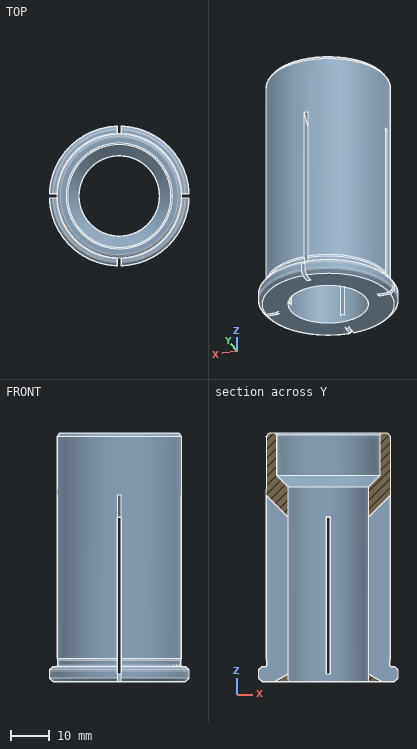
import cadquery as cq
import math

height = 64.0
body_radius = 32.0 / 2
rim_chamfer_height = 0.95
rim_chamfer_width = 0.65

flange_radius = 36.0 / 2
flange_height = 4.0
flange_base_chamfer_height = 1.0
flange_base_chamfer_width = 1.0
flange_top_chamfer = 0.9

edge_round = 0.45
selection_margin = 0.005

groove_depth = 0.1
groove_corner_height = 0.4
groove_top = 6.0
groove_radius = body_radius - groove_depth

bore_radius = 20.6 / 2
mouth_radius = 26.5 / 2
mouth_depth = 10.95
shoulder_height = mouth_radius - bore_radius
mouth_chamfer_height = 0.6
mouth_chamfer_width = 0.4

slot_count = 4
slot_width = 1.0
slot_top = 48.0
slot_top_slope = math.tan(math.radians(45))
slot_floor_height = 2.1
slot_floor_slope = math.tan(math.radians(30))
slot_overlap = 0.65


def round_edge(solid, radius, level):
    """Round the circular edge that has the given radius and height."""
    reach = radius + selection_margin
    box = cq.selectors.BoxSelector(
        (-reach, -reach, level - selection_margin), (reach, reach, level + selection_margin), boundingbox=True
    )
    edge = solid.edges(box).edges(cq.selectors.RadiusNthSelector(-1))
    return edge.fillet(edge_round)


def make_sleeve():
    """Revolve the wall section, drawn as (radius, height), about Z."""
    section = (
        cq.Workplane("XZ")
        .moveTo(bore_radius, 0)
        .lineTo(flange_radius - flange_base_chamfer_width, 0)
        .lineTo(flange_radius, flange_base_chamfer_height)
        .lineTo(flange_radius, flange_height - flange_top_chamfer)
        .lineTo(flange_radius - flange_top_chamfer, flange_height)
        .lineTo(groove_radius + groove_corner_height, flange_height)
        .radiusArc((groove_radius, flange_height + groove_corner_height), groove_corner_height)
        .lineTo(groove_radius, groove_top - groove_corner_height)
        .lineTo(body_radius, groove_top)
        .lineTo(body_radius, height - rim_chamfer_height)
        .lineTo(body_radius - rim_chamfer_width, height)
        .lineTo(mouth_radius + mouth_chamfer_width, height)
        .lineTo(mouth_radius, height - mouth_chamfer_height)
        .lineTo(mouth_radius, height - mouth_depth)
        .lineTo(bore_radius, height - mouth_depth - shoulder_height)
        .close()
    )
    sleeve = section.revolve(360, (0, 0, 0), (0, 1, 0))
    for radius, level in (
        (body_radius - rim_chamfer_width, height),
        (flange_radius - flange_top_chamfer, flange_height),
        (flange_radius, flange_height - flange_top_chamfer),
        (flange_radius, flange_base_chamfer_height),
    ):
        sleeve = round_edge(sleeve, radius, level)
    return sleeve


def make_slot_cutter():
    """Slot on the +X side; its two ends slope towards each other going inwards."""
    inner = bore_radius - slot_overlap
    outer = flange_radius + slot_overlap
    profile = []
    for radius in (inner, outer):
        profile.append((radius, slot_floor_height - (radius - bore_radius) * slot_floor_slope))
    for radius in (outer, inner):
        profile.append((radius, slot_top - (body_radius - radius) * slot_top_slope))
    return cq.Workplane("XZ").polyline(profile).close().extrude(slot_width / 2, both=True)


result = make_sleeve()
slot_cutter = make_slot_cutter()
for index in range(slot_count):
    angle = index * 360 / slot_count
    result = result.cut(slot_cutter.rotate((0, 0, 0), (0, 0, 1), angle))